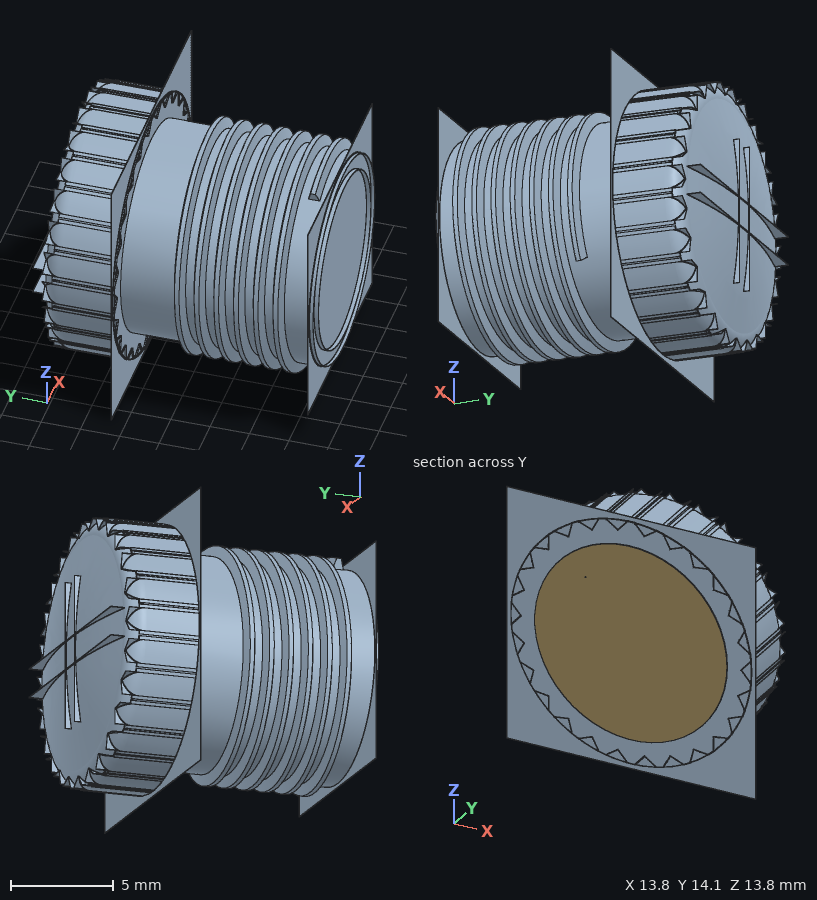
import cadquery as cq
import math

total_length = 14.12
sheet_thickness = 0.03

barrel_radius = 5.32
thread_radius = 5.87
thread_pitch = 1.0
thread_turns = 6.4
thread_start_height = 0.96
thread_start_angle = -112
thread_root_width = 0.62
thread_crest_width = 0.24
thread_sink = 0.07

end_sheet_size = 11.01
end_sheet_height = 0.23
outer_rim_radius = 5.3
outer_rim_height = 0.04
inner_rim_radius = 4.5

flange_width = 13.75
flange_depth = 13.82
flange_height = 9.81
cap_skirt_height = 9.74

cap_radius = 6.65
cap_shoulder_start = 12.55
cap_rim_height = 13.43
shoulder_radius = cap_rim_height - cap_shoulder_start
dome_radius = cap_radius - shoulder_radius
dome_top_height = 14.08

long_wall_length = 11.72
long_wall_offset = 0.72
short_wall_length = 7.4
short_wall_offset = 0.66

knurl_count = 26
knurl_step = 360 / knurl_count
fin_root_radius = 6.1
fin_half_width = 0.58
fin_tip_distance = 6.61
ridge_radius = 6.66
ridge_slot = 0.08
ridge_depth = 0.14
ridge_top_height = 12.92


def square_sheet(width, depth, height):
    return (
        cq.Workplane("XY", origin=(0, 0, height))
        .rect(width, depth)
        .extrude(sheet_thickness)
    )


def thin_rim(radius, bottom, top):
    return (
        cq.Workplane("XY", origin=(0, 0, bottom))
        .circle(radius)
        .circle(radius - sheet_thickness)
        .extrude(top - bottom)
    )


def revolved_body():
    """Barrel, cap, rounded shoulder and dome as one turned profile."""
    diagonal = shoulder_radius * math.sqrt(0.5)
    dome_rise = dome_top_height - cap_rim_height
    sphere_radius = (dome_radius**2 + dome_rise**2) / (2 * dome_rise)
    middle_radius = dome_radius / 2
    sphere_drop = sphere_radius - math.sqrt(sphere_radius**2 - middle_radius**2)
    return (
        cq.Workplane("XZ")
        .moveTo(0, end_sheet_height)
        .lineTo(barrel_radius, end_sheet_height)
        .lineTo(barrel_radius, flange_height)
        .lineTo(cap_radius, flange_height)
        .lineTo(cap_radius, cap_shoulder_start)
        .threePointArc(
            (dome_radius + diagonal, cap_shoulder_start + diagonal),
            (dome_radius, cap_rim_height),
        )
        .threePointArc((middle_radius, dome_top_height - sphere_drop), (0, dome_top_height))
        .close()
        .revolve(360, (0, 0, 0), (0, 1, 0))
    )


def thread():
    """Right-handed trapezoidal thread, sunk slightly into the barrel."""
    root_radius = barrel_radius - thread_sink
    path = cq.Wire.makeHelix(thread_pitch, thread_pitch * thread_turns, root_radius)
    profile = (
        cq.Workplane("XZ")
        .moveTo(root_radius, -thread_root_width / 2)
        .lineTo(thread_radius, -thread_crest_width / 2)
        .lineTo(thread_radius, thread_crest_width / 2)
        .lineTo(root_radius, thread_root_width / 2)
        .close()
    )
    return (
        profile.sweep(cq.Workplane(path), isFrenet=True)
        .rotate((0, 0, 0), (0, 0, 1), thread_start_angle)
        .translate((0, 0, thread_start_height))
    )


def knurl_fin():
    """One V-shaped sheet with its root toward the axis, centred on +X."""
    inset = sheet_thickness * math.sqrt(2)
    outline = [
        (fin_root_radius, 0),
        (fin_tip_distance, fin_half_width),
        (fin_tip_distance - inset, fin_half_width),
        (fin_root_radius - inset, 0),
        (fin_tip_distance - inset, -fin_half_width),
        (fin_tip_distance, -fin_half_width),
    ]
    return (
        cq.Workplane("XY", origin=(0, 0, cap_skirt_height))
        .polyline(outline)
        .close()
        .extrude(cap_rim_height - cap_skirt_height)
    )


def knurl_ridge():
    """Two narrow strips that stand slightly proud of the cap, midway between fins."""
    fin_half_angle = math.atan2(fin_half_width, fin_tip_distance)
    half_width = ridge_radius * math.sin(math.radians(knurl_step / 2) - fin_half_angle)
    strip_width = half_width - ridge_slot / 2
    strip_offset = (half_width + ridge_slot / 2) / 2
    height = ridge_top_height - flange_height
    strips = (
        cq.Workplane("XY", origin=(ridge_radius - ridge_depth / 2, 0, flange_height))
        .pushPoints([(0, strip_offset), (0, -strip_offset)])
        .rect(ridge_depth, strip_width)
        .extrude(height)
    )
    return strips.rotate((0, 0, 0), (0, 0, 1), knurl_step / 2)


def raised_walls():
    """Two crossing pairs of thin parallel walls that rise from the dome, open at their ends."""
    base = cq.Workplane("XY", origin=(0, 0, cap_shoulder_start))
    height = total_length - cap_shoulder_start
    long_pair = (
        base.pushPoints([(0, long_wall_offset), (0, -long_wall_offset)])
        .rect(long_wall_length, sheet_thickness)
        .extrude(height)
    )
    short_pair = (
        base.pushPoints([(short_wall_offset, 0), (-short_wall_offset, 0)])
        .rect(sheet_thickness, short_wall_length)
        .extrude(height)
    )
    return long_pair.union(short_pair)


part = revolved_body()
part = part.union(square_sheet(flange_width, flange_depth, flange_height))
part = part.union(square_sheet(end_sheet_size, end_sheet_size, end_sheet_height))
part = part.union(thin_rim(outer_rim_radius, outer_rim_height, end_sheet_height))
part = part.union(thin_rim(inner_rim_radius, 0, end_sheet_height))
part = part.union(thin_rim(cap_radius, cap_skirt_height, flange_height))
part = part.union(raised_walls())

knurl_pieces = []
for index in range(knurl_count):
    for piece in (knurl_fin(), knurl_ridge()):
        knurl_pieces += piece.rotate((0, 0, 0), (0, 0, 1), index * knurl_step).vals()
part = cq.Workplane(part.val().fuse(*knurl_pieces))
part = part.union(thread())

result = part.rotate((0, 0, 0), (1, 0, 0), -90)